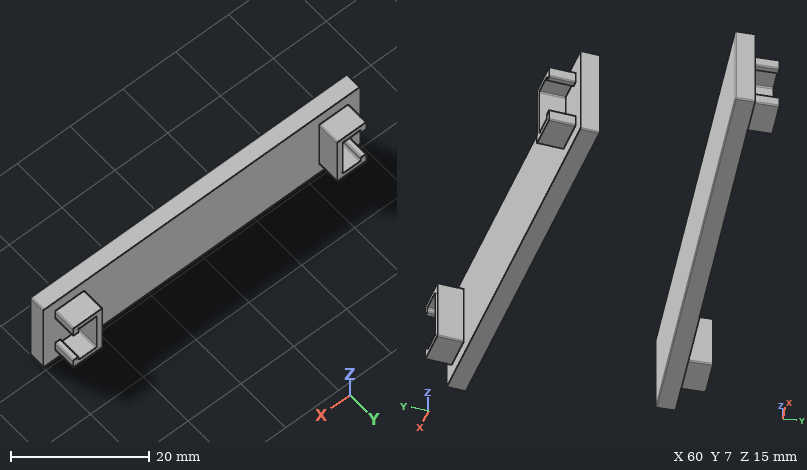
import cadquery as cq

plate_length = 60.0
plate_height = 15.0
plate_thickness = 3.0

clip_length = 5.6
clip_height = 10.2
clip_depth = 4.0
clip_wall = 1.1
clip_mouth = 6.4
clip_end_gap = 2.2

edge_radius = 0.2

clip_outer_x = plate_length / 2 - clip_end_gap
clip_center_x = clip_outer_x - clip_length / 2


def make_plate():
    """Plate with rounded corners and a rounded rim around its front face."""
    plate = cq.Workplane("XY").box(
        plate_length, plate_thickness, plate_height, centered=(True, False, True)
    )
    return plate.edges("|Y").fillet(edge_radius).faces("<Y").edges().fillet(edge_radius)


def block_behind_plate(length, height, center_x):
    """Block of clip depth that stands on the back face of the plate."""
    block = cq.Workplane("XY").box(length, clip_depth, height, centered=(True, False, True))
    return block.translate((center_x, plate_thickness, 0))


def make_clip(side):
    """Clip near one end (side -1 or 1), with its mouth toward that end."""
    outer = block_behind_plate(clip_length, clip_height, side * clip_center_x)
    cavity = block_behind_plate(
        clip_length - 2 * clip_wall, clip_height - 2 * clip_wall, side * clip_center_x
    )
    mouth_center_x = side * (clip_outer_x - clip_wall / 2)
    mouth = block_behind_plate(clip_wall, clip_mouth, mouth_center_x)
    return outer.cut(cavity).cut(mouth).edges("|Y").fillet(edge_radius)


result = make_plate()
for side in (-1, 1):
    result = result.union(make_clip(side))